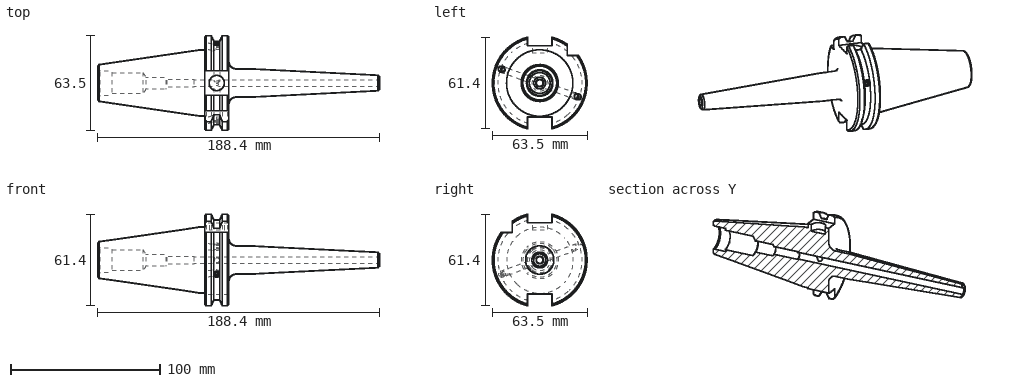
import cadquery as cq
import math


overall_length = 188.4
shank_length = 68.4
gauge_radius = 22.2
taper_half_slope = 7 / 48
shank_end_chamfer = 1.0
shank_end_radius = gauge_radius - shank_length * taper_half_slope
shank_end_x = -shank_length

flange_start_x = 3.2
flange_end_x = 19.2
flange_diameter = 63.5
flange_radius = flange_diameter / 2
flange_start_chamfer = 1.0
flange_end_chamfer = 1.1
groove_centre_x = 11.1
groove_floor_radius = 28.0
groove_floor_width = 3.8
groove_mouth_width = 7.5

slot_width = 16.2
upper_slot_floor_z = 25.0
lower_slot_floor_z = -22.8
notch_corner = 18.5
pocket_radius = 5.0
pocket_depth = 4.9

neck_diameter = 19.0
neck_radius = neck_diameter / 2
neck_fillet = 4.9
neck_end_x = 34.3
tip_x = overall_length - shank_length
tip_radius = 5.3
tip_chamfer = 1.1

mouth_radius = 8.9
pilot_radius = 8.3
mouth_chamfer_length = 1.3
pilot_depth = 9.2
thread_radius = 7.0
thread_depth = 30.1
relief_radius = 4.0
relief_depth = 45.2
feed_radius = 2.6
feed_depth = 64.0
through_radius = 2.3
drill_point_angle = 118

coolant_angles = (20, 200)
coolant_radius = 2.0
coolant_entry_radius = 27.1
coolant_tilt = 20
screw_face_radius = 27.7
screw_length = 3.0
socket_across_flats = 2.0
socket_depth = 1.5


def revolve_about_x(outline):
    return outline.close().revolve(360, (0, 0, 0), (1, 0, 0))


def drill_point_length(from_radius, to_radius):
    return (from_radius - to_radius) / math.tan(math.radians(drill_point_angle / 2))


def turned_body():
    return revolve_about_x(
        cq.Workplane("XY")
        .moveTo(shank_end_x, 0)
        .lineTo(shank_end_x, shank_end_radius - shank_end_chamfer)
        .lineTo(shank_end_x + shank_end_chamfer, shank_end_radius + shank_end_chamfer * taper_half_slope)
        .lineTo(0, gauge_radius)
        .lineTo(flange_start_x, gauge_radius)
        .lineTo(flange_start_x, flange_radius - flange_start_chamfer)
        .lineTo(flange_start_x + flange_start_chamfer, flange_radius)
        .lineTo(groove_centre_x - groove_mouth_width / 2, flange_radius)
        .lineTo(groove_centre_x - groove_floor_width / 2, groove_floor_radius)
        .lineTo(groove_centre_x + groove_floor_width / 2, groove_floor_radius)
        .lineTo(groove_centre_x + groove_mouth_width / 2, flange_radius)
        .lineTo(flange_end_x - flange_end_chamfer, flange_radius)
        .lineTo(flange_end_x, flange_radius - flange_end_chamfer)
        .lineTo(flange_end_x, neck_radius + neck_fillet)
        .radiusArc((flange_end_x + neck_fillet, neck_radius), -neck_fillet)
        .lineTo(neck_end_x, neck_radius)
        .lineTo(tip_x - tip_chamfer, tip_radius)
        .lineTo(tip_x, tip_radius - tip_chamfer)
        .lineTo(tip_x, 0)
    )


def axial_bore():
    pilot_end_x = shank_end_x + pilot_depth
    thread_end_x = shank_end_x + thread_depth
    relief_end_x = shank_end_x + relief_depth
    feed_end_x = shank_end_x + feed_depth
    return revolve_about_x(
        cq.Workplane("XY")
        .moveTo(shank_end_x, 0)
        .lineTo(shank_end_x, mouth_radius)
        .lineTo(shank_end_x + mouth_chamfer_length, pilot_radius)
        .lineTo(pilot_end_x, pilot_radius)
        .lineTo(pilot_end_x, thread_radius)
        .lineTo(thread_end_x, thread_radius)
        .lineTo(thread_end_x + drill_point_length(thread_radius, relief_radius), relief_radius)
        .lineTo(relief_end_x, relief_radius)
        .lineTo(relief_end_x + drill_point_length(relief_radius, feed_radius), feed_radius)
        .lineTo(feed_end_x, feed_radius)
        .lineTo(feed_end_x, through_radius)
        .lineTo(tip_x, through_radius)
        .lineTo(tip_x, 0)
    )


def flange_cut(start_y, end_y, start_z, end_z):
    """Box through the whole flange thickness."""
    return cq.Workplane("XY").box(
        flange_end_x - flange_start_x, end_y - start_y, end_z - start_z, centered=False
    ).translate((flange_start_x, start_y, start_z))


def chip_pocket():
    """Round pocket in the floor of the upper slot."""
    return (
        cq.Workplane("XY", origin=(groove_centre_x, 0, upper_slot_floor_z))
        .circle(pocket_radius)
        .extrude(-pocket_depth)
    )


def turn_to(body, angle):
    """Swing a body that was built on the -Y side about the X axis."""
    return body.rotate((0, 0, 0), (1, 0, 0), angle)


def coolant_passage(angle):
    """Hole from the groove to the bore, met by an inclined hole from the flange face."""
    groove_hole = (
        cq.Workplane("XZ", origin=(groove_centre_x, 0, 0))
        .circle(coolant_radius)
        .extrude(groove_floor_radius)
    )
    tilt = math.radians(coolant_tilt)
    axis = cq.Vector(math.cos(tilt), math.sin(tilt), 0)
    entry = cq.Vector(flange_start_x, -coolant_entry_radius, 0)
    lead_in = coolant_radius * math.tan(tilt)
    reach = (groove_centre_x - flange_start_x) / math.cos(tilt)
    inclined_hole = cq.Workplane(
        cq.Solid.makeCylinder(coolant_radius, lead_in + reach, entry - axis * lead_in, axis)
    )
    return turn_to(groove_hole.union(inclined_hole), angle)


def holder_body():
    holder = turned_body().cut(axial_bore())
    holder = holder.cut(flange_cut(-slot_width / 2, slot_width / 2, upper_slot_floor_z, flange_radius))
    holder = holder.cut(flange_cut(-slot_width / 2, slot_width / 2, -flange_radius, lower_slot_floor_z))
    holder = holder.cut(flange_cut(-flange_radius, -notch_corner, notch_corner, flange_radius))
    holder = holder.cut(chip_pocket())
    for angle in coolant_angles:
        holder = holder.cut(coolant_passage(angle))
    return holder


def closing_screw(angle):
    """Headless screw with a hexagon socket, in the groove end of a coolant passage."""
    socket_diameter = socket_across_flats / math.cos(math.pi / 6)
    screw = (
        cq.Workplane("XZ", origin=(groove_centre_x, screw_length - screw_face_radius, 0))
        .circle(coolant_radius)
        .extrude(screw_length)
        .faces("<Y")
        .workplane()
        .polygon(6, socket_diameter)
        .cutBlind(-socket_depth)
    )
    return turn_to(screw, angle)


holder = holder_body()
screws = [closing_screw(angle) for angle in coolant_angles]

result = cq.Compound.makeCompound([holder.val(), *[screw.val() for screw in screws]])